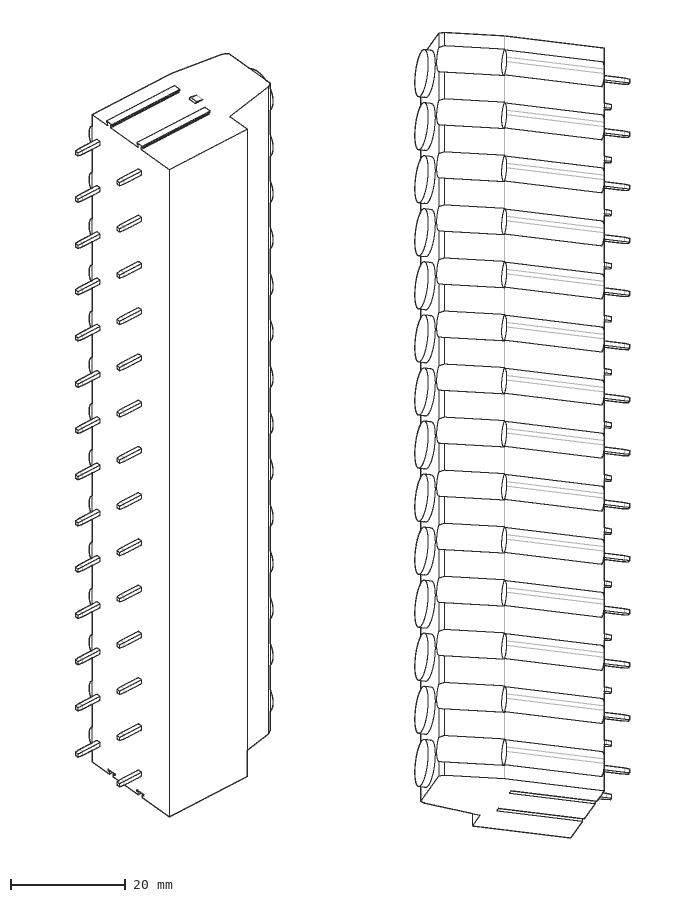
import cadquery as cq
import math

total_width = 22.0
total_length = 143.0
pole_count = 14
pole_pitch = 10.2

rib_depth = 1.3
housing_height = 29.5
shelf_height = 17.9
taper_start = 18.2
rail_height = 0.9
housing_length = total_length - rail_height
front_wall = rib_depth
shelf_edge = 17.3
top_front = 3.5
top_back = 14.6
shoulder_drop = 0.9
shoulder_front = 2.9
shoulder_back = 15.2

rib_radius = 2.1
rib_flat = 0.9
rib_bottom = 0.5

groove_radius = 2.7
groove_depth = 1.7

screw_diameter = 8.3
screw_rise = 1.3
screw_depth = 1.5
screw_x = 9.7

pin_size = 0.9
pin_length = 5.0
pin_tip_length = 1.0
pin_tip_size = 0.7
pin_rows = (3.0, 14.2)
pin_embed = 1.5

rail_rows = (5.9, 14.0)
rail_length = 15.6
rail_stem_width = 0.9
rail_head_width = 1.5
slot_rows = (6.5, 14.2)
slot_stem_width = 1.0
slot_head_width = 1.9
slot_depth = 0.9
tee_head_thickness = 0.3

latch_size = 1.7
latch_x = 9.7
latch_y = 16.6
latch_rise = 0.3
latch_crest = 0.3

end_margin = (housing_length - (pole_count - 1) * pole_pitch) / 2
pole_heights = [end_margin + i * pole_pitch for i in range(pole_count)]


def make_housing():
    """Stepped, tapered outline extruded along the row of poles."""
    shoulder_y = housing_height - shoulder_drop
    outline = [
        (front_wall, 0),
        (total_width, 0),
        (total_width, shelf_height),
        (shelf_edge, shelf_height),
        (shoulder_back, shoulder_y),
        (top_back, housing_height),
        (top_front, housing_height),
        (shoulder_front, shoulder_y),
        (front_wall, taper_start),
    ]
    return cq.Workplane("XY").polyline(outline).close().extrude(housing_length)


def make_rib(z):
    """Rounded rib with a flat crest, half buried in the front wall."""
    return (
        cq.Workplane("XZ", origin=(rib_radius, rib_bottom, z))
        .slot2D(rib_flat + 2 * rib_radius, 2 * rib_radius, angle=90)
        .extrude(-(taper_start - rib_bottom))
    )


def make_groove(z):
    """Cylinder running parallel to the tapered front face, from the start of the taper up."""
    run = shoulder_front - front_wall
    rise = housing_height - shoulder_drop - taper_start
    slant = math.hypot(run, rise)
    direction = cq.Vector(run / slant, rise / slant, 0)
    outward = cq.Vector(-rise / slant, run / slant, 0)
    start = cq.Vector(front_wall, taper_start, z) + outward * (groove_radius - groove_depth)
    start = start - direction * groove_radius
    cylinder = cq.Solid.makeCylinder(groove_radius, slant + 2 * groove_radius, start, direction)
    upper_half = cq.Workplane("XY").box(
        total_width, housing_height, 2 * groove_radius, centered=(True, False, True)
    )
    return upper_half.translate((0, taper_start, z)).intersect(cq.Workplane(cylinder))


def make_screw(z):
    """Plain round screw head rising out of the top face."""
    bottom = housing_height - screw_depth
    return (
        cq.Workplane("XZ", origin=(screw_x, bottom, z))
        .circle(screw_diameter / 2)
        .extrude(-(screw_depth + screw_rise))
    )


def make_pin(x, z):
    """Square solder pin with a tapered tip."""
    shank_length = pin_length - pin_tip_length
    shank = (
        cq.Workplane("XZ", origin=(x, pin_embed, z))
        .rect(pin_size, pin_size)
        .extrude(pin_embed + shank_length)
    )
    tip = (
        cq.Workplane("XZ", origin=(x, -shank_length, z))
        .rect(pin_size, pin_size)
        .workplane(offset=pin_tip_length)
        .rect(pin_tip_size, pin_tip_size)
        .loft(combine=True)
    )
    return shank.union(tip)


def make_tee_bar(x, z, stem_width, head_width, height):
    """T-section bar, stem first, that starts at the mounting face and runs along Y."""
    half_stem = stem_width / 2
    half_head = head_width / 2
    neck = height - tee_head_thickness
    corners = [
        (-half_stem, 0),
        (half_stem, 0),
        (half_stem, neck),
        (half_head, neck),
        (half_head, height),
        (-half_head, height),
        (-half_head, neck),
        (-half_stem, neck),
    ]
    return cq.Workplane("XZ", origin=(x, 0, z)).polyline(corners).close().extrude(-rail_length)


def make_latch():
    """Low wedge that falls away toward +Y."""
    half = latch_size / 2
    profile = [(-half, 0), (half, 0), (latch_crest - half, latch_rise)]
    return (
        cq.Workplane("YZ", origin=(latch_x - half, latch_y, housing_length))
        .polyline(profile)
        .close()
        .extrude(latch_size)
    )


result = make_housing()
for pole_z in pole_heights:
    result = result.cut(make_groove(pole_z))
    result = result.union(make_rib(pole_z)).union(make_screw(pole_z))
    for pin_x in pin_rows:
        result = result.union(make_pin(pin_x, pole_z))
for rail_x in rail_rows:
    rail = make_tee_bar(rail_x, housing_length, rail_stem_width, rail_head_width, rail_height)
    result = result.union(rail)
for slot_x in slot_rows:
    slot = make_tee_bar(slot_x, 0, slot_stem_width, slot_head_width, slot_depth)
    result = result.cut(slot)
result = result.union(make_latch())